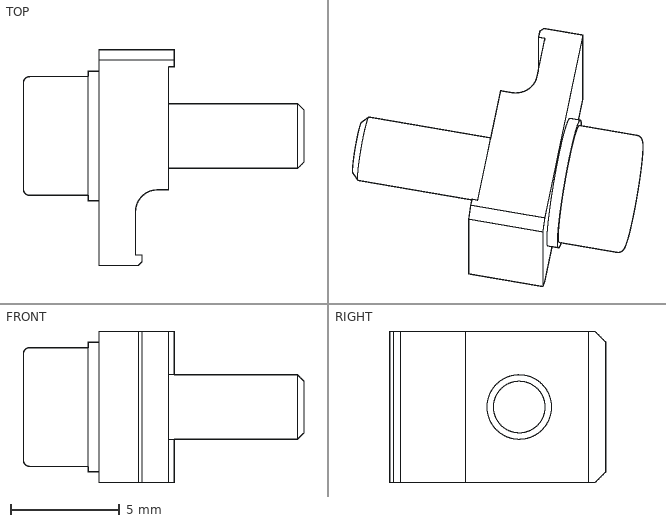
import cadquery as cq

total_length = 13.0
collar_start = 3.0
plate_start = 3.5
thin_end = 5.2
low_lip_end = 5.5
thick_end = 6.72
high_lip_end = 7.0

head_radius = 2.75
head_fillet = 0.3
collar_radius = 3.0
shaft_radius = 1.5
shaft_chamfer = 0.3

plate_width = 10.0
plate_height = 7.0
plate_top = 4.0
plate_bottom = plate_top - plate_width
corner_chamfer = 0.5
high_lip_width = 0.8
low_lip_width = 0.5
low_lip_chamfer = 0.17
step_y = -2.5
step_radius = 1.0


def cylinder(start, end, radius):
    return cq.Workplane("YZ", origin=(start, 0, 0)).circle(radius).extrude(end - start)


def make_plate():
    plate = (
        cq.Workplane("XY", origin=(0, 0, -plate_height / 2))
        .moveTo(plate_start, plate_bottom)
        .lineTo(low_lip_end - low_lip_chamfer, plate_bottom)
        .lineTo(low_lip_end, plate_bottom + low_lip_chamfer)
        .lineTo(low_lip_end, plate_bottom + low_lip_width)
        .lineTo(thin_end, plate_bottom + low_lip_width)
        .lineTo(thin_end, step_y - step_radius)
        .radiusArc((thin_end + step_radius, step_y), step_radius)
        .lineTo(thick_end, step_y)
        .lineTo(thick_end, plate_top - high_lip_width)
        .lineTo(high_lip_end, plate_top - high_lip_width)
        .lineTo(high_lip_end, plate_top)
        .lineTo(plate_start, plate_top)
        .close()
        .extrude(plate_height)
    )
    return plate.faces(">Y").edges("|X").chamfer(corner_chamfer)


head = cylinder(0, plate_start, head_radius).faces("<X").edges().fillet(head_fillet)
collar = cylinder(collar_start, plate_start, collar_radius)
shaft = cylinder(plate_start, total_length, shaft_radius).faces(">X").edges().chamfer(shaft_chamfer)

result = make_plate().union(head).union(collar).union(shaft)